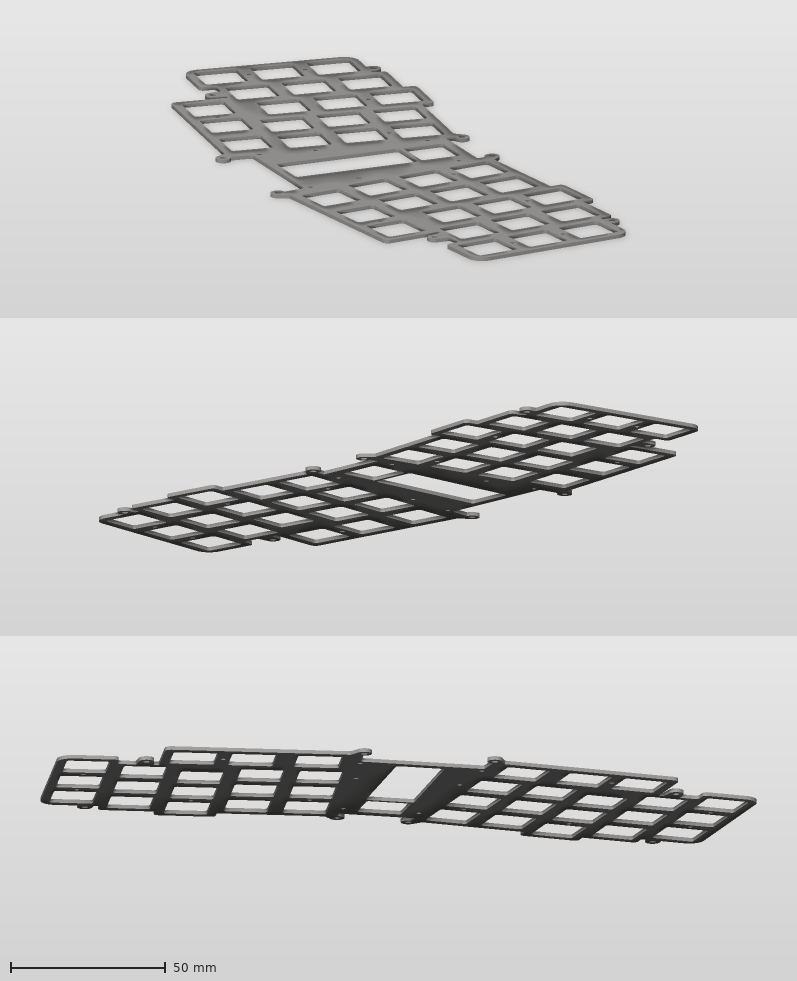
import cadquery as cq
import math

THICKNESS = 1.2
WING_ANGLE = 7.0
PITCH = 19.05
QUARTER = PITCH / 4
KEY_WIDTH = 14.1
KEY_LENGTH = 14.5
KEY_CORNER = 1.0
BORDER = 10.05
THIRD_TOP_BORDER = 9.75
THUMB_SIDE_BORDER = 10.25
ROWS = 3

WING_ORIGIN = (-24.36, 26.28, 0)
INNER_EDGE_U = 11.2
SPLIT = PITCH / 2

COLUMN_TOPS = [
    (0, 0),
    (-PITCH, 0),
    (-2 * PITCH, QUARTER),
    (-3 * PITCH, 0),
    (-4 * PITCH, -QUARTER),
]
THUMB_V = -ROWS * PITCH
THUMB_INNER_U = -PITCH / 8
THUMB_GAP = 1.125 * PITCH
THUMB_MIDDLE_U = THUMB_INNER_U - THUMB_GAP
THUMB_OUTER_U = THUMB_MIDDLE_U - PITCH
THUMB_US = [THUMB_INNER_U, THUMB_MIDDLE_U, THUMB_OUTER_U]

OUTER_CORNER = 5.0
THUMB_CORNER = 2.0
SMALL_CORNER = 1.5
NOTCH_FILLET = 0.8

TAB_RADIUS = 2.45
TAB_HOLE = 2.1
TOP_CORNER_REACH = 1.6
BOTTOM_CORNER_REACH = 1.85
CORNER_WEB_RUN = 4.2
CORNER_WEB_DEPTH = 1.0
TOP_TAB = (-94.16, 42.05)
TOP_TAB_ROOT_Y = 39.0
BOTTOM_TAB = (-87.82, -17.8)
BOTTOM_TAB_ROOT_Y = -12.0
BOTTOM_TAB_FLARE = 1.5

BRIDGE_TOP = 31.0
BRIDGE_BOTTOM = -33.8
BRIDGE_OVERLAP = 3.0
BRIDGE_FILLET = 1.0
UPPER_WINDOW_WIDTH = 14.6
UPPER_WINDOW_BOTTOM = 13.6
UPPER_WINDOW_TOP = 27.5
LOWER_WINDOW_WIDTH = 16.0
LOWER_WINDOW_BOTTOM = -31.0
LOWER_WINDOW_TOP = 12.2
WINDOW_CORNER = 1.0

SCREW_HOLE = 1.6
BRIDGE_SCREWS = [(-12.5, 24.6), (-17.2, -13.0), (-20.2, -31.4)]

SIN = math.sin(math.radians(WING_ANGLE))
COS = math.cos(math.radians(WING_ANGLE))
WING_PLANE = cq.Plane(origin=WING_ORIGIN, xDir=(COS, -SIN, 0), normal=(0, 0, 1))


def rounded_outline(plane, corners):
    """Extruded polygon from (x, y, radius) corners; radius 0 keeps a corner sharp."""
    outline = cq.Workplane(plane)
    started = False
    for i, (x, y, radius) in enumerate(corners):
        before = cq.Vector(*corners[i - 1][:2])
        after = cq.Vector(*corners[(i + 1) % len(corners)][:2])
        corner = cq.Vector(x, y)
        to_before = (before - corner).normalized()
        to_after = (after - corner).normalized()
        half_angle = to_before.getAngle(to_after) / 2
        setback = radius / math.tan(half_angle)
        bisector = (to_before + to_after).normalized()
        start = corner + to_before * setback
        middle = corner + bisector * (radius / math.sin(half_angle) - radius)
        end = corner + to_after * setback
        if started:
            outline = outline.lineTo(start.x, start.y)
        else:
            outline = outline.moveTo(start.x, start.y)
            started = True
        if radius > 0:
            outline = outline.threePointArc((middle.x, middle.y), (end.x, end.y))
    return outline.close().extrude(THICKNESS)


def discs(plane, centers, diameter):
    return cq.Workplane(plane).pushPoints(centers).circle(diameter / 2).extrude(THICKNESS)


def from_wing(u, v):
    """Plate (x, y) of a wing-frame point."""
    world = WING_PLANE.toWorldCoords((u, v))
    return (world.x, world.y)


def wing_body():
    third_u, third_v = COLUMN_TOPS[2]
    fourth_u, fourth_v = COLUMN_TOPS[3]
    outer_u, outer_v = COLUMN_TOPS[4]
    column_drop = (ROWS - 1) * PITCH
    step_u = fourth_u - SPLIT
    fourth_bottom = fourth_v - column_drop - SPLIT
    outer_bottom = outer_v - column_drop - BORDER
    thumb_left = THUMB_OUTER_U - THUMB_SIDE_BORDER
    thumb_bottom = THUMB_V - BORDER
    return rounded_outline(WING_PLANE, [
        (INNER_EDGE_U, BORDER, 0),
        (third_u + BORDER, BORDER, 0),
        (third_u + BORDER, third_v + THIRD_TOP_BORDER, SMALL_CORNER),
        (third_u - BORDER, third_v + THIRD_TOP_BORDER, SMALL_CORNER),
        (third_u - BORDER, fourth_v + BORDER, 0),
        (step_u, fourth_v + BORDER, SMALL_CORNER),
        (step_u, outer_v + BORDER, NOTCH_FILLET),
        (outer_u - BORDER, outer_v + BORDER, OUTER_CORNER),
        (outer_u - BORDER, outer_bottom, OUTER_CORNER),
        (step_u, outer_bottom, SMALL_CORNER),
        (step_u, fourth_bottom, SMALL_CORNER),
        (thumb_left, fourth_bottom, 0),
        (thumb_left, thumb_bottom, THUMB_CORNER),
        (INNER_EDGE_U, thumb_bottom, 0),
    ])


def corner_tab(edge_v, reach, outward):
    """Tab at an inner corner of the wing; outward is +1 at the top, -1 at the bottom."""
    center = (INNER_EDGE_U, edge_v + outward * reach)
    diagonal = TAB_RADIUS * math.sqrt(0.5)
    web = cq.Workplane(WING_PLANE).polyline([
        center,
        (center[0] - diagonal, center[1] + outward * diagonal),
        (center[0] - CORNER_WEB_RUN, edge_v),
        (center[0], edge_v - outward * CORNER_WEB_DEPTH),
    ]).close().extrude(THICKNESS)
    return web.union(discs(WING_PLANE, [center], 2 * TAB_RADIUS)), center


def edge_tab(center, root_y, flare):
    """Round-ended tab square to the X axis, its inner side flaring towards the root."""
    x, y = center
    web = cq.Workplane("XY").polyline([
        (x - TAB_RADIUS, y),
        (x + TAB_RADIUS, y),
        (x + TAB_RADIUS + flare, root_y),
        (x - TAB_RADIUS, root_y),
    ]).close().extrude(THICKNESS)
    return web.union(discs("XY", [center], 2 * TAB_RADIUS))


def rounded_windows(plane, centers, width, length, radius):
    windows = cq.Workplane(plane).pushPoints(centers).rect(width, length).extrude(THICKNESS)
    return windows.edges("|Z").fillet(radius)


def key_cutouts():
    main_keys = [(u, v - row * PITCH) for u, v in COLUMN_TOPS for row in range(ROWS)]
    thumb_keys = [(u, THUMB_V) for u in THUMB_US]
    main_cutouts = rounded_windows(WING_PLANE, main_keys, KEY_WIDTH, KEY_LENGTH, KEY_CORNER)
    thumb_cutouts = rounded_windows(WING_PLANE, thumb_keys, KEY_LENGTH, KEY_WIDTH, KEY_CORNER)
    return main_cutouts.union(thumb_cutouts)


def wing_screw_holes():
    outer_u, outer_v = COLUMN_TOPS[4]
    third_u, third_v = COLUMN_TOPS[2]
    centers = [
        (0, -SPLIT),
        (third_u, third_v - SPLIT),
        (outer_u, outer_v - SPLIT),
        (outer_u, outer_v - SPLIT - PITCH),
        (THUMB_OUTER_U + SPLIT, THUMB_V),
    ]
    return discs(WING_PLANE, centers, SCREW_HOLE)


def left_wing():
    upper_tab, upper_center = corner_tab(BORDER, TOP_CORNER_REACH, 1)
    lower_tab, lower_center = corner_tab(THUMB_V - BORDER, BOTTOM_CORNER_REACH, -1)
    wing = wing_body().union(upper_tab).union(lower_tab)
    wing = wing.union(edge_tab(TOP_TAB, TOP_TAB_ROOT_Y, 0))
    wing = wing.union(edge_tab(BOTTOM_TAB, BOTTOM_TAB_ROOT_Y, BOTTOM_TAB_FLARE))
    wing = wing.cut(key_cutouts()).cut(wing_screw_holes())
    wing = wing.cut(discs(WING_PLANE, [upper_center, lower_center], TAB_HOLE))
    return wing.cut(discs("XY", [TOP_TAB, BOTTOM_TAB], TAB_HOLE))


def inner_edge_x(y):
    """X of the left wing's inner edge at height y."""
    edge_x, edge_y = from_wing(INNER_EDGE_U, 0)
    return edge_x + (y - edge_y) * SIN / COS


def bridge_window(width, bottom, top):
    center = (0, (bottom + top) / 2)
    return rounded_windows("XY", [center], width, top - bottom, WINDOW_CORNER)


def bridge():
    top_x = inner_edge_x(BRIDGE_TOP) - BRIDGE_OVERLAP
    bottom_x = inner_edge_x(BRIDGE_BOTTOM) - BRIDGE_OVERLAP
    body = cq.Workplane("XY").polyline([
        (top_x, BRIDGE_TOP),
        (-top_x, BRIDGE_TOP),
        (-bottom_x, BRIDGE_BOTTOM),
        (bottom_x, BRIDGE_BOTTOM),
    ]).close().extrude(THICKNESS)
    body = body.cut(bridge_window(UPPER_WINDOW_WIDTH, UPPER_WINDOW_BOTTOM, UPPER_WINDOW_TOP))
    return body.cut(bridge_window(LOWER_WINDOW_WIDTH, LOWER_WINDOW_BOTTOM, LOWER_WINDOW_TOP))


def bridge_screw_holes():
    mirrored = [(-x, y) for x, y in BRIDGE_SCREWS]
    return discs("XY", BRIDGE_SCREWS + mirrored, SCREW_HOLE)


def fillet_bridge_corners(plate):
    """Round the two inside corners where the bridge's lower edge meets the wings."""
    corner_x = inner_edge_x(BRIDGE_BOTTOM)
    for x in (corner_x, -corner_x):
        corner = cq.selectors.NearestToPointSelector((x, BRIDGE_BOTTOM, THICKNESS / 2))
        plate = plate.edges("|Z").edges(corner).fillet(BRIDGE_FILLET)
    return plate


wing = left_wing()
plate = wing.union(wing.mirror("YZ")).union(bridge())
plate = fillet_bridge_corners(plate)
result = plate.cut(bridge_screw_holes())